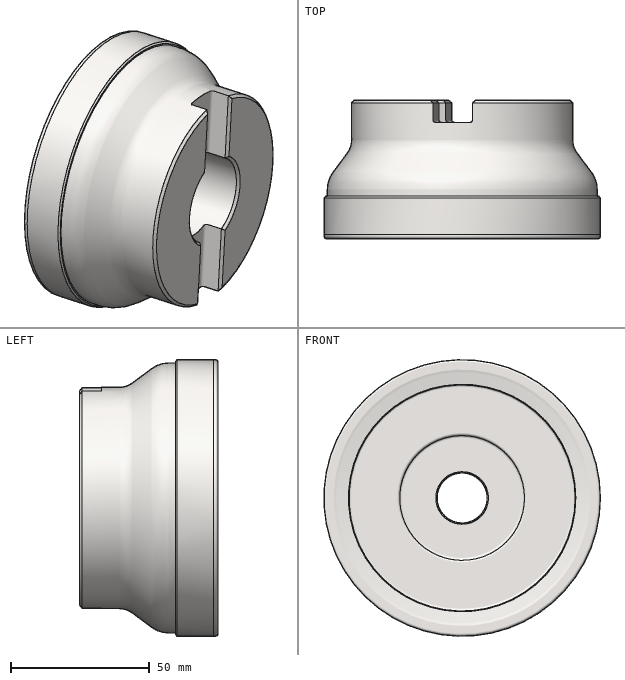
import cadquery as cq
import math

outer_radius = 49.9

facing_thickness = 1.6
facing_inner_radius = 41.1
facing_edge_fillet = 0.9
land_inner_radius = 46.2
land_edge_width = 0.9
land_edge_depth = 0.2
cone_depth = 0.8

hub_length = 50.0
boss_radius = 40.0
flange_height = 15.4
flange_back_chamfer = 0.6
shoulder_radius = 48.79
shoulder_end = 17.8
flare_angle = math.radians(37)
shoulder_round = 10.3
neck_round = 7.7
boss_start = 35.6
edge_chamfer = 1.0

dish_floor = 2.4
dish_floor_radius = 40.0
dish_fillet = dish_floor - facing_thickness
recess_radius = 45.0 / 2
recess_floor = 16.6
recess_fillet = 0.9
hole_radius = 9.0
hole_chamfer = 0.5
rear_bore_radius = 16.0
rear_bore_depth = 26.0

slot_width = 14.4
slot_depth = 8.0
slot_fillet = 1.0
slot_turn = 5.0

slot_floor = hub_length - slot_depth


def turned(profile):
    """Revolve a closed XY profile once around the Y axis."""
    return profile.close().revolve(360, (0, 0, 0), (0, 1, 0))


def make_facing():
    cone_outer_radius = land_inner_radius - land_edge_width
    bulge = facing_edge_fillet * (1 - math.sqrt(0.5))
    profile = (
        cq.Workplane("XY")
        .moveTo(facing_inner_radius, facing_thickness)
        .lineTo(facing_inner_radius, cone_depth)
        .lineTo(cone_outer_radius, land_edge_depth)
        .lineTo(land_inner_radius, 0)
        .lineTo(outer_radius - facing_edge_fillet, 0)
        .threePointArc((outer_radius - bulge, bulge), (outer_radius, facing_edge_fillet))
        .lineTo(outer_radius, facing_thickness)
    )
    return turned(profile)


def flare_point(radius, y, arc_radius, angle):
    """Point at an angle along an arc that starts parallel to the axis; a negative radius bends outward."""
    return (
        radius - arc_radius * (1 - math.cos(angle)),
        y + arc_radius * math.sin(angle),
    )


def make_hub_blank():
    profile = (
        cq.Workplane("XY")
        .moveTo(0, facing_thickness)
        .lineTo(outer_radius, facing_thickness)
        .lineTo(outer_radius, flange_height - flange_back_chamfer)
        .lineTo(outer_radius - flange_back_chamfer, flange_height)
        .lineTo(shoulder_radius, flange_height)
        .lineTo(shoulder_radius, shoulder_end)
        .threePointArc(
            flare_point(shoulder_radius, shoulder_end, shoulder_round, flare_angle / 2),
            flare_point(shoulder_radius, shoulder_end, shoulder_round, flare_angle),
        )
        .lineTo(*flare_point(boss_radius, boss_start, -neck_round, flare_angle))
        .threePointArc(
            flare_point(boss_radius, boss_start, -neck_round, flare_angle / 2),
            (boss_radius, boss_start),
        )
        .lineTo(boss_radius, hub_length - edge_chamfer)
        .lineTo(boss_radius - edge_chamfer, hub_length)
        .lineTo(0, hub_length)
    )
    return turned(profile)


def make_opening():
    """Front dish, recess, through hole and rear bore as one stepped cutter."""
    rear_bore_floor = hub_length - rear_bore_depth
    dish_bulge = dish_fillet * (1 - math.sqrt(0.5))
    bulge = recess_fillet * (1 - math.sqrt(0.5))
    profile = (
        cq.Workplane("XY")
        .moveTo(0, facing_thickness)
        .lineTo(dish_floor_radius + dish_fillet, facing_thickness)
        .threePointArc(
            (dish_floor_radius + dish_fillet * math.sqrt(0.5), dish_floor - dish_bulge),
            (dish_floor_radius, dish_floor),
        )
        .lineTo(recess_radius + recess_fillet, dish_floor)
        .threePointArc(
            (recess_radius + bulge, dish_floor + bulge),
            (recess_radius, dish_floor + recess_fillet),
        )
        .lineTo(recess_radius, recess_floor - recess_fillet)
        .threePointArc(
            (recess_radius - bulge, recess_floor - bulge),
            (recess_radius - recess_fillet, recess_floor),
        )
        .lineTo(hole_radius + hole_chamfer, recess_floor)
        .lineTo(hole_radius, recess_floor + hole_chamfer)
        .lineTo(hole_radius, rear_bore_floor)
        .lineTo(rear_bore_radius, rear_bore_floor)
        .lineTo(rear_bore_radius, hub_length - edge_chamfer)
        .lineTo(rear_bore_radius + edge_chamfer, hub_length)
        .lineTo(0, hub_length)
    )
    return turned(profile)


def make_slot():
    """Key slot with rounded floor corners and bevelled mouth."""
    half_width = slot_width / 2
    mouth_half_width = half_width + edge_chamfer
    profile = (
        cq.Workplane("XY")
        .moveTo(-half_width, slot_floor)
        .lineTo(half_width, slot_floor)
        .lineTo(half_width, hub_length - edge_chamfer)
        .lineTo(mouth_half_width, hub_length)
        .lineTo(-mouth_half_width, hub_length)
        .lineTo(-half_width, hub_length - edge_chamfer)
        .close()
        .extrude(outer_radius, both=True)
    )
    return profile.edges("|Z").edges("<Y").fillet(slot_fillet).rotate((0, 0, 0), (0, 1, 0), -slot_turn)


facing = make_facing()
hub = make_hub_blank().cut(make_opening()).cut(make_slot())

result = cq.Compound.makeCompound([facing.val(), hub.val()])